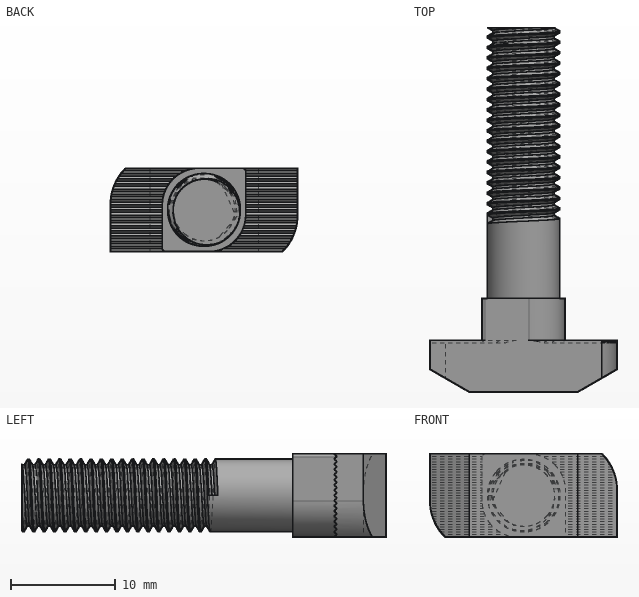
import cadquery as cq
import math


total_length = 35.0
head_length = 18.0
head_width = 8.0
head_height = 5.0
chamfer_run = 3.8
chamfer_angle = 30.0
head_round_end = 1.47
round_start = 0.5
neck_end = 9.0
neck_corner_radius = 0.3
serration_count = 16
shank_diameter = 7.0
thread_pitch = 1.0
thread_angle = 60.0
thread_start = 16.6
trim_allowance = 4.0

half_length = head_length / 2
half_width = head_width / 2
shank_radius = shank_diameter / 2
neck_round_radius = half_width - round_start
chamfer_rise = chamfer_run * math.tan(math.radians(chamfer_angle))
serration_pitch = head_width / serration_count
serration_depth = serration_pitch / 2
flank_angle = math.radians(thread_angle / 2)
sharp_v_height = thread_pitch / 2 / math.tan(flank_angle)
thread_depth = 5 / 8 * sharp_v_height
groove_root_width = thread_pitch / 4
groove_mouth_clearance = thread_pitch / 20


def extrude_along_y(sketch, y_from, y_to):
    """Extrude an outline drawn in X and Z between two Y positions."""
    return sketch.extrude(y_from - y_to).translate((0, y_from, 0))


def head_side_outline():
    """Head outline in X and Y with both ends chamfered toward the outer face."""
    flat_half = half_length - chamfer_run
    return (
        cq.Workplane("XY")
        .moveTo(-flat_half, 0)
        .lineTo(flat_half, 0)
        .lineTo(half_length, chamfer_rise)
        .lineTo(half_length, head_height)
        .lineTo(-half_length, head_height)
        .lineTo(-half_length, chamfer_rise)
        .close()
    )


def head_end_outline():
    """Head outline in X and Z with two opposite corners rounded for turning in the slot."""
    round_x = half_length - head_round_end
    return (
        cq.Workplane("XZ")
        .moveTo(-half_length, half_width)
        .lineTo(-half_length, -round_start)
        .tangentArcPoint((-round_x, -half_width), relative=False)
        .lineTo(half_length, -half_width)
        .lineTo(half_length, round_start)
        .tangentArcPoint((round_x, half_width), relative=False)
        .close()
    )


def make_serration_cutter():
    """V grooves running along X across the clamping face of the head."""
    cutter = cq.Workplane("YZ").moveTo(head_height, -half_width)
    for tooth in range(serration_count):
        z_crest = -half_width + tooth * serration_pitch
        cutter = cutter.lineTo(head_height - serration_depth, z_crest + serration_pitch / 2)
        cutter = cutter.lineTo(head_height, z_crest + serration_pitch)
    clearance_y = head_height + serration_depth
    cutter = cutter.lineTo(clearance_y, half_width).lineTo(clearance_y, -half_width).close()
    return cutter.extrude(half_length, both=True)


def make_head():
    """T head with chamfered ends, rounded corners and a serrated clamping face."""
    prism = head_side_outline().extrude(half_width, both=True)
    head = prism.intersect(extrude_along_y(head_end_outline(), 0, head_height))
    return head.cut(make_serration_cutter())


def make_neck():
    """Square neck with two opposite corners strongly rounded, rooted inside the head."""
    neck = cq.Workplane("XZ").rect(head_width, head_width)
    neck = extrude_along_y(neck, chamfer_rise, neck_end)
    neck = neck.edges("|Y").edges(">(1, 0, 1) or <(1, 0, 1)").fillet(neck_round_radius)
    return neck.edges("|Y").edges(">(1, 0, -1) or <(1, 0, -1)").fillet(neck_corner_radius)


def make_thread_groove():
    """Right-hand V groove, built around Z and then laid along +Y."""
    root_radius = shank_radius - thread_depth
    mouth_radius = shank_radius + groove_mouth_clearance
    root_half = groove_root_width / 2
    mouth_half = root_half + (mouth_radius - root_radius) * math.tan(flank_angle)
    groove_length = math.ceil(total_length - thread_start + thread_pitch / 2)
    path = cq.Wire.makeHelix(thread_pitch, groove_length, root_radius)
    profile = cq.Workplane("XZ").polyline([
        (root_radius, -root_half),
        (mouth_radius, -mouth_half),
        (mouth_radius, mouth_half),
        (root_radius, root_half),
    ]).close()
    groove = profile.sweep(cq.Workplane(obj=path), isFrenet=True)
    groove = groove.rotate((0, 0, 0), (0, 0, 1), 180)
    groove = groove.rotate((0, 0, 0), (1, 0, 0), -90)
    return groove.translate((0, thread_start, 0))


def make_shank():
    """Plain and threaded shank, cut over-long past the groove run-out and trimmed to length."""
    blank_end = total_length + trim_allowance
    blank = extrude_along_y(cq.Workplane("XZ").circle(shank_radius), neck_end, blank_end)
    threaded = blank.cut(make_thread_groove())
    surplus = cq.Workplane("XZ").rect(2 * shank_diameter, 2 * shank_diameter)
    return threaded.cut(extrude_along_y(surplus, total_length, blank_end + trim_allowance))


result = make_head().union(make_neck()).union(make_shank())